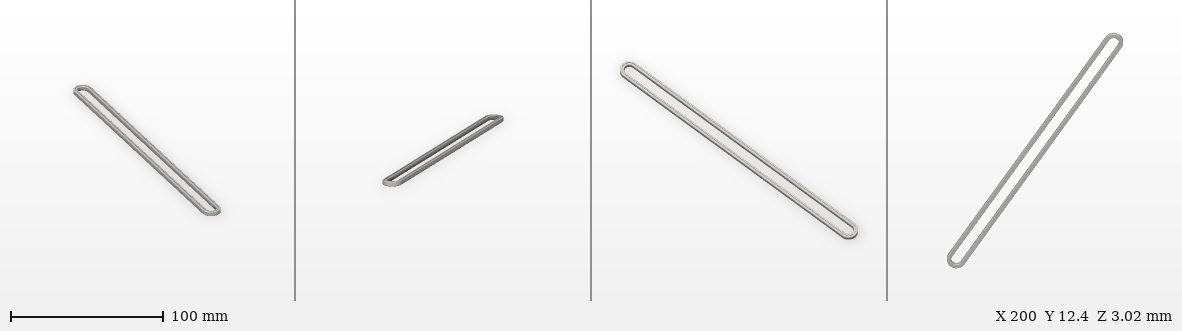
import cadquery as cq

length = 200.0
opening_width = 7.0
edge_chamfer = 0.3

land_width = 1.05
groove_width = 0.62
groove_depth = 0.52
floor_thickness = 2.5

wall = 2 * land_width + groove_width
width = opening_width + 2 * wall
height = floor_thickness + groove_depth


def obround_prism(inset, depth):
    """Upright obround prism whose side lies `inset` inside the outer side of the ring."""
    return cq.Workplane("XY").slot2D(length - 2 * inset, width - 2 * inset).extrude(depth)


def obround_band(outer_inset, inner_inset, depth):
    """Band between two insets from the outer side, standing on the XY plane."""
    return obround_prism(outer_inset, depth).cut(obround_prism(inner_inset, depth))


ring = obround_band(0, wall, height).faces("|Z").edges().chamfer(edge_chamfer)

groove = obround_band(land_width, land_width + groove_width, groove_depth)
result = ring.cut(groove.translate((0, 0, floor_thickness)))